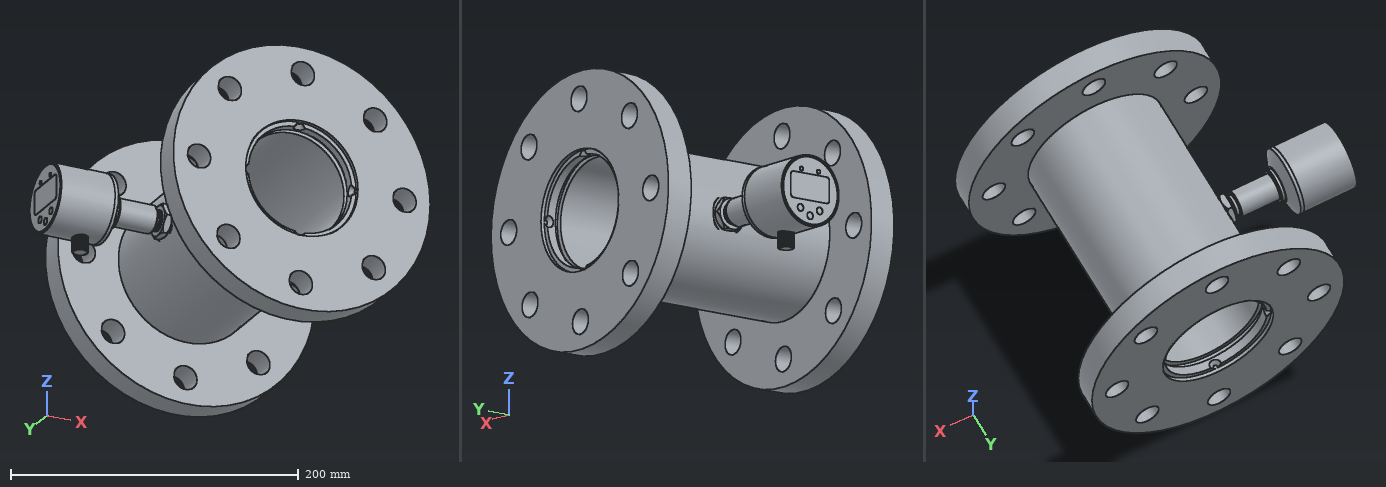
import cadquery as cq
import math


pipe_length = 200.0
pipe_diameter = 106.0
bore_diameter = 80.0
flange_diameter = 200.0
flange_thickness = 20.1
bolt_count = 8
bolt_circle_diameter = 160.0
bolt_hole_diameter = 18.0
bolt_pattern_turn = 0.57

mouth_diameter = 87.5
mouth_depth = 14.5
ring_recess = 3.0
ring_width = 7.0
ring_bore_diameter = 80.5
notch_count = 4
notch_wide_diameter = 8.3
notch_narrow_diameter = 3.0
notch_axis_depth = 1.2

sensor_y = 9.8
overall_width = 245.5
face_x = flange_diameter / 2 - overall_width
barrel_end_x = -103.4
cone_start_x = -100.7
cone_end_x = -95.7
collar_start_x = -93.3
collar_end_x = -92.3
stem_end_x = -62.0
thread_start_x = -59.7
nut_start_x = -57.5
nut_end_x = -51.8

barrel_diameter = 51.0
panel_diameter = 48.0
rim_chamfer = 0.5
panel_recess = 0.5
window_width = 34.1
window_height = 19.0
window_corner_radius = 2.5
window_z = 2.5
display_relief = 0.2
lamp_diameter = 3.0
lamp_spacing = 15.2
lamp_z = 14.7
button_diameter = 5.2
button_spacing = 17.0
button_z = -13.3
low_button_z = -18.0

cone_end_diameter = 27.5
undercut_diameter = 24.5
collar_diameter = 25.5
collar_chamfer = 0.5
stem_diameter = 20.4
stem_chamfer = 0.7
neck_diameter = 15.5
neck_groove_diameter = 14.2
neck_groove_width = 0.5
neck_groove_count = 2

nut_corner_diameter = 25.5
nut_flat_width = nut_corner_diameter * math.cos(math.radians(30))
nut_outer_chamfer_angle = 30
nut_seat_chamfer_angle = 45
nut_seat_diameter = 27.5

connector_x = -117.8
connector_bottom_z = -36.3
connector_top_z = -22.0
connector_diameter = 11.5
connector_root_diameter = 10.0
connector_chamfer = 0.7
connector_groove_width = 0.5
connector_groove_pitch = 1.0
connector_groove_count = 10


def rod_x(diameter, start_x, end_x):
    """Round rod on the sensor axis."""
    rod = cq.Workplane("YZ", origin=(start_x, sensor_y, 0)).circle(diameter / 2)
    return rod.extrude(end_x - start_x)


def rod_y(diameter, start_y, end_y):
    """Round rod on the pipe axis."""
    rod = cq.Workplane("XZ", origin=(0, start_y, 0)).circle(diameter / 2)
    return rod.extrude(start_y - end_y)


def turned_about_sensor(outline):
    """Solid of revolution about the sensor axis from (x, radius) points."""
    section = cq.Workplane("XY", origin=(0, sensor_y, 0)).polyline(outline).close()
    return section.revolve(360, (0, 0, 0), (1, 0, 0))


def make_nut():
    """Hexagonal nut with its corners turned off at both ends, bored for the neck."""
    hexagon = cq.Workplane("YZ", origin=(nut_start_x, sensor_y, 0)).polygon(6, nut_corner_diameter)
    nut = hexagon.extrude(nut_end_x - nut_start_x)
    flat_radius = nut_flat_width / 2
    corner_radius = nut_corner_diameter / 2
    corner_height = corner_radius - flat_radius
    outer_chamfer = corner_height * math.tan(math.radians(nut_outer_chamfer_angle))
    seat_chamfer = corner_height * math.tan(math.radians(nut_seat_chamfer_angle))
    turned_envelope = turned_about_sensor([
        (nut_start_x, 0),
        (nut_start_x, flat_radius),
        (nut_start_x + outer_chamfer, corner_radius),
        (nut_end_x - seat_chamfer, corner_radius),
        (nut_end_x, flat_radius),
        (nut_end_x, 0),
    ])
    return nut.intersect(turned_envelope).cut(rod_x(neck_diameter, nut_start_x, nut_end_x))


def make_pipe():
    """Pipe with a flange at each end, a widened mouth in each and a seat for the nut."""
    half_length = pipe_length / 2
    pipe = rod_y(pipe_diameter, -half_length, half_length)
    for side in (-1, 1):
        outer_y = side * half_length
        inner_y = side * (half_length - flange_thickness)
        pipe = pipe.union(rod_y(flange_diameter, outer_y, inner_y))
    pipe = pipe.cut(rod_y(bore_diameter, -half_length, half_length))
    for side in (-1, 1):
        outer_y = side * half_length
        pipe = pipe.cut(rod_y(mouth_diameter, outer_y, outer_y - side * mouth_depth))
    bolt_holes = (
        cq.Workplane("XZ", origin=(0, half_length, 0))
        .polarArray(bolt_circle_diameter / 2, -bolt_pattern_turn, 360, bolt_count)
        .circle(bolt_hole_diameter / 2)
        .extrude(pipe_length)
    )
    nut_seat = rod_x(nut_seat_diameter, -pipe_diameter / 2, nut_end_x)
    return pipe.cut(bolt_holes).cut(nut_seat)


def make_ring(side):
    """Retaining ring in the mouth on the given side, with tapered radial notches in its face."""
    face_y = side * (pipe_length / 2 - ring_recess)
    back_y = face_y - side * ring_width
    ring = rod_y(mouth_diameter, face_y, back_y).cut(rod_y(ring_bore_diameter, face_y, back_y))
    notch = cq.Solid.makeCone(
        notch_wide_diameter / 2,
        notch_narrow_diameter / 2,
        (mouth_diameter - bore_diameter) / 2,
        pnt=cq.Vector(bore_diameter / 2, face_y - side * notch_axis_depth, 0),
        dir=cq.Vector(1, 0, 0),
    )
    for index in range(notch_count):
        ring = ring.cut(cq.Workplane(notch.rotate((0, 0, 0), (0, 1, 0), index * 360 / notch_count)))
    return ring


def make_connector():
    """Threaded connector stub, its thread made as a stack of grooves."""
    connector = (
        cq.Workplane("XY", origin=(connector_x, sensor_y, connector_bottom_z))
        .circle(connector_diameter / 2)
        .extrude(connector_top_z - connector_bottom_z)
        .faces("<Z")
        .chamfer(connector_chamfer)
    )
    for index in range(connector_groove_count):
        groove_z = connector_bottom_z + connector_chamfer + (index + 0.5) * connector_groove_pitch
        groove = (
            cq.Workplane("XY", origin=(connector_x, sensor_y, groove_z))
            .circle(connector_diameter / 2)
            .circle(connector_root_diameter / 2)
            .extrude(connector_groove_width)
        )
        connector = connector.cut(groove)
    return connector


def display_plane(z):
    """Workplane on the display panel, centred on the sensor at height z."""
    return cq.Workplane("YZ", origin=(face_x + panel_recess, sensor_y, z))


def make_barrel():
    """Display barrel with a recessed panel, window, lamps, buttons and connector socket."""
    barrel = turned_about_sensor([
        (face_x + panel_recess, 0),
        (face_x + panel_recess, panel_diameter / 2),
        (face_x, panel_diameter / 2),
        (face_x, barrel_diameter / 2 - rim_chamfer),
        (face_x + rim_chamfer, barrel_diameter / 2),
        (barrel_end_x, barrel_diameter / 2),
        (barrel_end_x, 0),
    ])
    window = (
        display_plane(window_z)
        .rect(window_width, window_height)
        .extrude(display_relief)
        .edges("|X")
        .fillet(window_corner_radius)
    )
    lamps = (
        display_plane(lamp_z)
        .pushPoints([(-lamp_spacing / 2, 0), (lamp_spacing / 2, 0)])
        .circle(lamp_diameter / 2)
        .extrude(display_relief)
    )
    buttons = (
        display_plane(0)
        .pushPoints([
            (-button_spacing / 2, button_z),
            (button_spacing / 2, button_z),
            (0, low_button_z),
        ])
        .circle(button_diameter / 2)
        .extrude(display_relief)
    )
    socket = (
        cq.Workplane("XY", origin=(connector_x, sensor_y, connector_top_z))
        .circle(connector_diameter / 2)
        .extrude(-barrel_diameter / 2)
    )
    return barrel.cut(window).cut(lamps).cut(buttons).cut(socket)


def make_stem():
    """Back of the sensor: cone, collar, stem and the threaded neck held in the nut."""
    stem = turned_about_sensor([
        (barrel_end_x, 0),
        (barrel_end_x, barrel_diameter / 2),
        (cone_start_x, barrel_diameter / 2),
        (cone_end_x, cone_end_diameter / 2),
        (cone_end_x, undercut_diameter / 2),
        (collar_start_x, undercut_diameter / 2),
        (collar_start_x, collar_diameter / 2),
        (collar_end_x - collar_chamfer, collar_diameter / 2),
        (collar_end_x, collar_diameter / 2 - collar_chamfer),
        (collar_end_x, stem_diameter / 2),
        (stem_end_x - stem_chamfer, stem_diameter / 2),
        (stem_end_x, stem_diameter / 2 - stem_chamfer),
        (stem_end_x, neck_diameter / 2),
        (nut_end_x, neck_diameter / 2),
        (nut_end_x, 0),
    ])
    groove_pitch = (nut_start_x - thread_start_x) / neck_groove_count
    for index in range(neck_groove_count):
        groove_x = thread_start_x + index * groove_pitch
        groove = rod_x(neck_diameter, groove_x, groove_x + neck_groove_width)
        groove = groove.cut(rod_x(neck_groove_diameter, groove_x, groove_x + neck_groove_width))
        stem = stem.cut(groove)
    return stem


pipe = make_pipe()
rings = [make_ring(side) for side in (-1, 1)]
nut = make_nut()
stem = make_stem()
barrel = make_barrel()
connector = make_connector()

result = cq.Compound.makeCompound(
    [pipe.val(), *[ring.val() for ring in rings], nut.val(), stem.val(), barrel.val(), connector.val()]
)